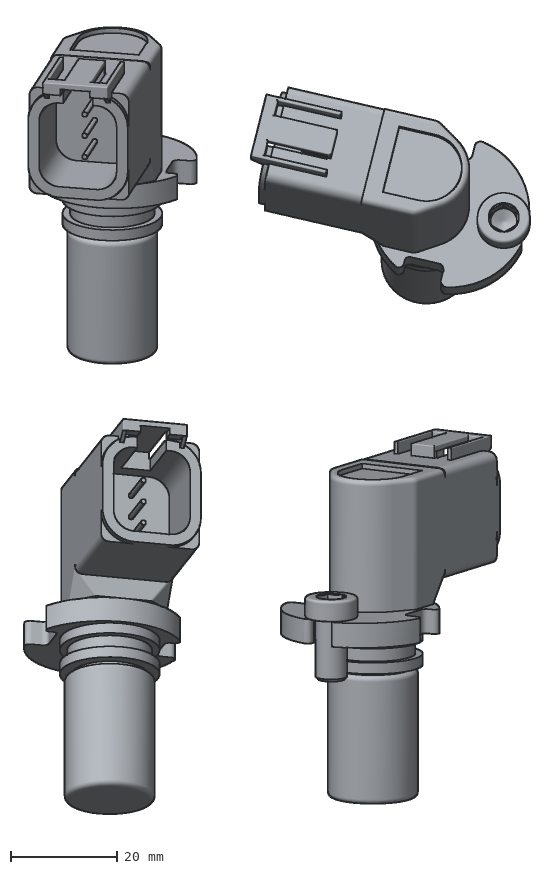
import cadquery as cq
import math

HEADING = -45.0

BARREL_TOP = 24.6
LOWER_RING_BOTTOM = 25.3
LOWER_RING_TOP = 27.45
UPPER_RING_BOTTOM = 30.15
FLANGE_BOTTOM = 32.15
FLANGE_TOP = 36.85
COLUMN_TOP = 62.1
CONNECTOR_TOP = 62.25
TOTAL_HEIGHT = 64.55

BARREL_RADIUS = 8.5
BARREL_FILLET = 1.0
NECK_RADIUS = 7.1
RING_RADIUS = 9.4
SEAL_GROOVE_RADIUS = 8.0

FLANGE_RADIUS = 15.0
FLANGE_X = -4.6
FLANGE_FILLET = 1.0
NOTCH_START_FILLET = 1.15
NOTCH_START_X = -6.1
NOTCH_END_X = 1.5
NOTCH_FLOOR_Y = 10.5

SCREW_X = -15.0
SCREW_HOLE_RADIUS = 3.4
SCREW_MOUTH_WIDTH = 4.5
SHANK_RADIUS = 6.0 / 2
SHANK_BOTTOM = 24.9
SHANK_CHAMFER = 0.6
HEAD_RADIUS = 5.0
HEAD_HEIGHT = 4.0
HEAD_TOP_FILLET = 0.5
HEAD_BOTTOM_FILLET = 0.4
UNDERHEAD_FLARE = 0.25
SOCKET_ACROSS_FLATS = 5.0
SOCKET_DEPTH = 2.4
SOCKET_TIP_DEPTH = 1.4
COUNTERSINK_SLOPE = math.tan(math.pi / 6)

HALF_WIDTH = 9.6
BACK_RADIUS = 8.1
FLANK_FILLET = 2.3
COLUMN_FRONT_X = 10.4
COLUMN_TOP_FILLET = 1.0
CORNER_CUT_LENGTH = 4.2
CORNER_CUT_HEIGHT = 5.35
CORNER_CUT_FILLET = 0.65
LABEL_RADIUS = 6.65
LABEL_FRONT_X = 6.9
LABEL_DEPTH = 1.0
CONNECTOR_BOTTOM = 40.9
CONNECTOR_FRONT_X = 29.05
CONNECTOR_TOP_FILLET = 1.7
CONNECTOR_BOTTOM_FILLET = 1.5

SHROUD_FRONT_X = 30.2
SHROUD_TOP = 62.0
SHROUD_WALL = 2.1
SHROUD_CORNER_RADIUS = 6.1
CAVITY_BACK_X = 15.3
CONTACT_RADIUS = 0.485
CONTACT_TIP_X = 24.2
CONTACT_PITCH = 4.25

HOOD_BACK_X = 17.95
HOOD_FRONT_X = 32.6
HOOD_HALF_WIDTH = 6.25
HOOD_WEB_BOTTOM = 60.6
HOOD_LEG_THICKNESS = 0.8
HOOD_FILLET = 0.2
TONGUE_HALF_WIDTH = 2.6
TONGUE_THICKNESS = 1.1
TONGUE_BACK_THICKNESS = 0.8
LATCH_HALF_WIDTH = 2.85

SHROUD_HEIGHT = SHROUD_TOP - CONNECTOR_BOTTOM
SHROUD_MID_Z = (SHROUD_TOP + CONNECTOR_BOTTOM) / 2
CAVITY_TOP = SHROUD_TOP - SHROUD_WALL

MARGIN = 0.65


def box_between(x_range, y_range, z_range):
    """Box given by its lower and upper limits along each axis."""
    sizes = [upper - lower for lower, upper in (x_range, y_range, z_range)]
    return cq.Workplane("XY").box(*sizes, centered=False).translate((x_range[0], y_range[0], z_range[0]))


def disc(radius, bottom, top, x=0.0):
    return cq.Workplane("XY", origin=(x, 0, bottom)).circle(radius).extrude(top - bottom)


def oval(x_start, x_end, inset):
    """Rounded-rectangle prism along X, inset from the outside of the connector shroud."""
    return (
        cq.Workplane("YZ", origin=(x_start, 0, SHROUD_MID_Z))
        .rect(2 * (HALF_WIDTH - inset), SHROUD_HEIGHT - 2 * inset)
        .extrude(x_end - x_start)
        .edges("|X")
        .fillet(SHROUD_CORNER_RADIUS - inset)
    )


def make_barrel():
    barrel = disc(BARREL_RADIUS, 0, BARREL_TOP).faces("<Z or >Z").edges().fillet(BARREL_FILLET)
    neck = disc(NECK_RADIUS, BARREL_TOP, LOWER_RING_BOTTOM)
    lower_ring = disc(RING_RADIUS, LOWER_RING_BOTTOM, LOWER_RING_TOP)
    seal_groove = disc(SEAL_GROOVE_RADIUS, LOWER_RING_TOP, UPPER_RING_BOTTOM)
    upper_ring = disc(RING_RADIUS, UPPER_RING_BOTTOM, FLANGE_BOTTOM)
    return barrel.union(neck).union(lower_ring).union(seal_groove).union(upper_ring)


def edges_between_x(x_range):
    """Selector for edges whose centre lies between two X positions."""
    return cq.selectors.BoxSelector(
        (x_range[0], -FLANGE_RADIUS, 0), (x_range[1], FLANGE_RADIUS, TOTAL_HEIGHT)
    )


def make_flange():
    """Round plate with a notch on each side and an open-ended screw hole at the back."""
    height = (FLANGE_BOTTOM, FLANGE_TOP)
    back_x = FLANGE_X - FLANGE_RADIUS
    half_mouth = SCREW_MOUTH_WIDTH / 2
    flange = disc(FLANGE_RADIUS, *height, x=FLANGE_X)
    for notch_y in ((NOTCH_FLOOR_Y, FLANGE_RADIUS), (-FLANGE_RADIUS, -NOTCH_FLOOR_Y)):
        flange = flange.cut(box_between((NOTCH_START_X, NOTCH_END_X), notch_y, height))
    flange = flange.cut(box_between((back_x, SCREW_X), (-half_mouth, half_mouth), height))
    for x_range, radius in (
        ((back_x, SCREW_X - MARGIN), FLANGE_FILLET),
        ((NOTCH_START_X - MARGIN, NOTCH_START_X + MARGIN), NOTCH_START_FILLET),
        ((NOTCH_END_X - MARGIN, NOTCH_END_X + MARGIN), FLANGE_FILLET),
    ):
        flange = flange.edges("|Z").edges(edges_between_x(x_range)).fillet(radius)
    return flange.cut(disc(SCREW_HOLE_RADIUS, *height, x=SCREW_X))


def make_column():
    """Upright housing whose straight flanks run tangent into the round back."""
    tangent_angle = math.pi / 2 + math.acos(BACK_RADIUS / HALF_WIDTH)
    tangent_x = BACK_RADIUS * math.cos(tangent_angle)
    tangent_y = BACK_RADIUS * math.sin(tangent_angle)
    column = (
        cq.Workplane("XY", origin=(0, 0, FLANGE_TOP))
        .moveTo(COLUMN_FRONT_X, HALF_WIDTH)
        .lineTo(0, HALF_WIDTH)
        .lineTo(tangent_x, tangent_y)
        .threePointArc((-BACK_RADIUS, 0), (tangent_x, -tangent_y))
        .lineTo(0, -HALF_WIDTH)
        .lineTo(COLUMN_FRONT_X, -HALF_WIDTH)
        .close()
        .extrude(COLUMN_TOP - FLANGE_TOP)
    )
    column = column.edges("|Z").edges(edges_between_x((-MARGIN, MARGIN))).fillet(FLANK_FILLET)
    column = column.faces(">Z").edges("not >X").fillet(COLUMN_TOP_FILLET)
    for side in (-1, 1):
        column = column.cut(make_corner_cut(side))
        slanted_edges = cq.selectors.BoxSelector(
            (
                COLUMN_FRONT_X - CORNER_CUT_LENGTH,
                side * (HALF_WIDTH - CORNER_CUT_LENGTH),
                FLANGE_TOP + MARGIN,
            ),
            (
                COLUMN_FRONT_X + MARGIN,
                side * (HALF_WIDTH + MARGIN),
                FLANGE_TOP + CORNER_CUT_HEIGHT - MARGIN,
            ),
        )
        column = column.edges(slanted_edges).fillet(CORNER_CUT_FILLET)
    return column.cut(make_label_recess())


def make_label_recess():
    """Shallow pocket in the top, round at the back and square at the front."""
    return (
        cq.Workplane("XY", origin=(0, 0, COLUMN_TOP - LABEL_DEPTH))
        .moveTo(LABEL_FRONT_X, LABEL_RADIUS)
        .lineTo(0, LABEL_RADIUS)
        .threePointArc((-LABEL_RADIUS, 0), (0, -LABEL_RADIUS))
        .lineTo(LABEL_FRONT_X, -LABEL_RADIUS)
        .close()
        .extrude(LABEL_DEPTH)
    )


def make_corner_cut(side):
    """Pyramid that slopes off a lower front corner of the column."""
    corner_y = side * HALF_WIDTH
    base = [
        (COLUMN_FRONT_X, corner_y),
        (COLUMN_FRONT_X - CORNER_CUT_LENGTH, corner_y),
        (COLUMN_FRONT_X, corner_y - side * CORNER_CUT_LENGTH),
    ]
    apex = cq.Vector(COLUMN_FRONT_X, corner_y, FLANGE_TOP + CORNER_CUT_HEIGHT)
    corners = [cq.Vector(x, y, FLANGE_TOP) for x, y in base]
    triangles = [corners] + [[corners[i], corners[(i + 1) % 3], apex] for i in range(3)]
    faces = [cq.Face.makeFromWires(cq.Wire.makePolygon(points, close=True)) for points in triangles]
    return cq.Workplane(cq.Solid.makeSolid(cq.Shell.makeShell(faces)))


def make_connector():
    """Connector body with its oval shroud at the front."""
    body = box_between(
        (COLUMN_FRONT_X, CONNECTOR_FRONT_X), (-HALF_WIDTH, HALF_WIDTH), (CONNECTOR_BOTTOM, CONNECTOR_TOP)
    )
    body = body.edges("|X and >Z").fillet(CONNECTOR_TOP_FILLET)
    body = body.edges("|X and <Z").fillet(CONNECTOR_BOTTOM_FILLET)
    return body.union(oval(COLUMN_FRONT_X, SHROUD_FRONT_X, 0))


def make_hood():
    """Latch hood: two legs and a tongue, joined by an overhanging lip with a web under each end."""
    leg_inner_y = HOOD_HALF_WIDTH - HOOD_LEG_THICKNESS
    hood = box_between(
        (HOOD_BACK_X, HOOD_FRONT_X), (-HOOD_HALF_WIDTH, HOOD_HALF_WIDTH), (SHROUD_TOP, TOTAL_HEIGHT)
    )
    hood = hood.edges("|Z and >X").fillet(HOOD_FILLET)
    for groove_y in ((TONGUE_HALF_WIDTH, leg_inner_y), (-leg_inner_y, -TONGUE_HALF_WIDTH)):
        groove = box_between((HOOD_BACK_X, SHROUD_FRONT_X), groove_y, (SHROUD_TOP, TOTAL_HEIGHT))
        hood = hood.cut(groove)
    hood = hood.faces(">Z").edges().fillet(HOOD_FILLET)
    below_lip = box_between(
        (SHROUD_FRONT_X, HOOD_FRONT_X), (-HOOD_HALF_WIDTH, HOOD_HALF_WIDTH), (SHROUD_TOP, CONNECTOR_TOP)
    )
    hood = hood.cut(below_lip)
    for web_y in (HOOD_HALF_WIDTH, -leg_inner_y):
        hood = hood.union(make_lip_web(web_y))
    return hood


def make_lip_web(outer_y):
    """Web that tapers off towards the front of the lip; it ends at outer_y on its +Y side."""
    return (
        cq.Workplane("XZ", origin=(0, outer_y, 0))
        .moveTo(CONNECTOR_FRONT_X, CONNECTOR_TOP)
        .lineTo(CONNECTOR_FRONT_X, HOOD_WEB_BOTTOM)
        .lineTo(SHROUD_FRONT_X, HOOD_WEB_BOTTOM)
        .lineTo(HOOD_FRONT_X - HOOD_FILLET, CONNECTOR_TOP)
        .close()
        .extrude(HOOD_LEG_THICKNESS)
    )


def make_contacts():
    contacts = cq.Workplane("YZ", origin=(CAVITY_BACK_X, 0, SHROUD_MID_Z))
    return (
        contacts.pushPoints([(0, i * CONTACT_PITCH) for i in (-1, 0, 1)])
        .circle(CONTACT_RADIUS)
        .extrude(CONTACT_TIP_X - CAVITY_BACK_X)
    )


def make_sensor():
    sensor = make_barrel().union(make_flange()).union(make_column())
    sensor = sensor.union(make_connector()).union(make_hood())
    sensor = sensor.cut(oval(CAVITY_BACK_X, SHROUD_FRONT_X, SHROUD_WALL))
    latch_channel = box_between(
        (HOOD_BACK_X + TONGUE_BACK_THICKNESS, HOOD_FRONT_X),
        (-LATCH_HALF_WIDTH, LATCH_HALF_WIDTH),
        (CAVITY_TOP, TOTAL_HEIGHT - TONGUE_THICKNESS),
    )
    return sensor.cut(latch_channel).union(make_contacts())


def cone(radius, base_z, height):
    """Cone on the screw axis that points downwards from its base."""
    return cq.Workplane(
        cq.Solid.makeCone(radius, 0, height, cq.Vector(SCREW_X, 0, base_z), cq.Vector(0, 0, -1))
    )


def make_screw():
    """Socket-head cap screw resting on the flange."""
    head_top = FLANGE_TOP + HEAD_HEIGHT
    socket_bottom = head_top - SOCKET_DEPTH
    socket_corner_radius = SOCKET_ACROSS_FLATS / math.sqrt(3)

    head = disc(HEAD_RADIUS, FLANGE_TOP, head_top, x=SCREW_X)
    head = head.faces(">Z").edges().fillet(HEAD_TOP_FILLET)
    head = head.faces("<Z").edges().fillet(HEAD_BOTTOM_FILLET)
    shank = disc(SHANK_RADIUS, SHANK_BOTTOM, FLANGE_TOP, x=SCREW_X)
    shank = shank.faces("<Z").edges().chamfer(SHANK_CHAMFER)
    flare_radius = SHANK_RADIUS + UNDERHEAD_FLARE
    flare = cone(flare_radius, FLANGE_TOP, flare_radius)

    hexagon = (
        cq.Workplane("XY", origin=(SCREW_X, 0, socket_bottom))
        .transformed(rotate=(0, 0, -HEADING))
        .polygon(6, 2 * socket_corner_radius)
        .extrude(SOCKET_DEPTH)
    )
    tip = cone(SOCKET_ACROSS_FLATS / 2, socket_bottom, SOCKET_TIP_DEPTH)
    countersink = cone(socket_corner_radius, head_top, socket_corner_radius * COUNTERSINK_SLOPE)
    return head.union(shank).union(flare).cut(hexagon).cut(tip).cut(countersink)


def turned(body):
    """The body's single solid, turned about the barrel axis into its final heading."""
    return body.rotate((0, 0, 0), (0, 0, 1), HEADING).solids()


sensor = turned(make_sensor())
screw = turned(make_screw())
result = cq.Compound.makeCompound([sensor.val(), screw.val()])